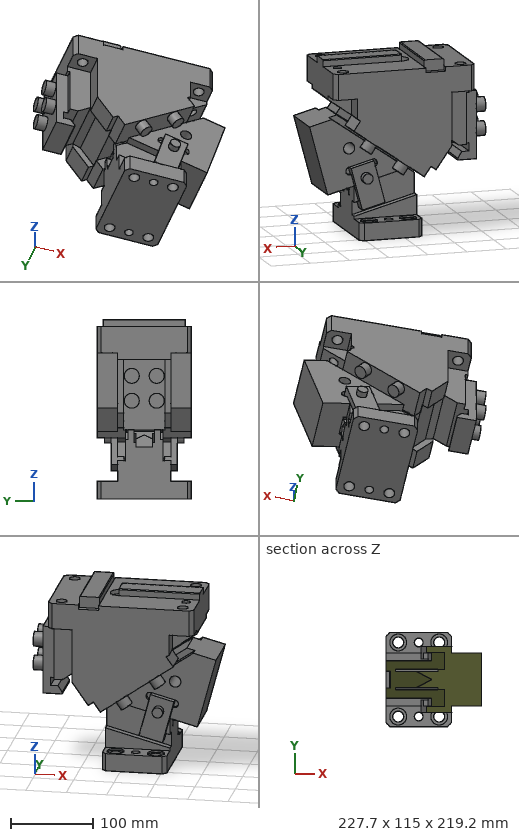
import cadquery as cq
import math


body_width = 115.0
column_width = 65.0
corner_chamfer = 5.0
bolt_hole_diameter = 13.0
dowel_diameter = 10.2
bolt_hole_y = 45.0
bolt_hole_inset = 15.0
far = 455.5

way_angle = 35.0
way_cos = math.cos(math.radians(way_angle))
way_sin = math.sin(math.radians(way_angle))
way_start = (65.1, 74.7)
way_length = 110.0
slide_rail_width = 43.0
rail_top = 5.0
shoulder_level = -2.7

parting_angle = 15.0
parting_cos = math.cos(math.radians(parting_angle))
parting_sin = math.sin(math.radians(parting_angle))
slide_right_x = 203.6
slide_height = 89.7
slide_corner_z = 54.5
slide_corner_x = slide_right_x - slide_height * parting_sin

holder_length = 180.0
holder_top = 210.5
plate_thickness = 32.3
plate_bottom = holder_top - plate_thickness
corner_pocket_length = 29.8
dowel_y = 22.5
dowel_depth = 54.7
seat_height = 15.0
tooth_length = 8.0
tooth_gap_step = 0.7
tooth_gap_height = 45.5
column_bottom = 105.2
column_bottom_length = 13.5
way_groove_width = 45.0

key_width = 25.0
key_rise = 8.7
key_seat_depth = 5.5
key_chamfer = 1.1
cross_key_x = 37.8
cross_key_length = 100.2
long_key_length = 100.0

hook_width = 50.0
hook_left = -11.8
hook_seat_x = 3.2
hook_bottom = 84.5
hook_top = 170.1
hook_web_x = -2.3
hook_lip_top = 95.0
hook_lip_corner_x = 6.8
hook_lip_end = (12.0, 87.0)
hook_bolt_diameter = 18.2
hook_bolt_tip = -24.1
hook_bolt_spacing = 30.3
hook_bolt_center_z = 135.0

way_bolt_diameter = 16.2
way_bolt_height = 12.0
way_bolt_positions = (30.5, 80.6)
way_bolt_y = 48.7

cross_hole_diameter = 14.1
cross_hole_along = 41.0
cross_hole_height = 47.5
clamp_along = 50.0
clamp_width = 30.0
clamp_thickness = 8.0
clamp_top = 24.8
clamp_bottom = -30.0
lip_inner_y = 24.8
slot_length = 41.0
slot_diameter = 10.0
slot_height = 19.8
slot_depth = 5.0
pin_diameter = 13.0
pin_height = 7.7
pin_length = 8.0
insert_start = 30.5
insert_end = 107.5
insert_flange_width = 24.5
insert_flange_thickness = 2.0
insert_width = 20.0
insert_depth = 9.0
vee_apex_depth = 4.0

base_left = 66.7
base_length = 80.0
base_right = base_left + base_length
base_plate_thickness = 22.0
base_rail_width = 46.0
base_crest_width = 40.0
flange_end = 59.2
flange_thickness = 20.0
shelf_depth = 36.7
slot_floor_depth = 20.5
wide_slot_depth = 15.3
counterbore_diameter = 20.5
counterbore_depth = 2.0


def way_point(along, above):
    """XZ point from its distance along the slide way and its height square to it."""
    x = way_start[0] + along * way_cos - above * way_sin
    z = way_start[1] + along * way_sin + above * way_cos
    return (x, z)


def parting_point(along, above):
    """XZ point from its distance up the parting plane and its height square to it."""
    x = slide_corner_x - along * parting_cos + above * parting_sin
    z = slide_corner_z + along * parting_sin + above * parting_cos
    return (x, z)


def prism(points, y_from, y_to):
    """XZ outline extruded along Y."""
    return cq.Workplane("XZ", origin=(0, y_from, 0)).polyline(points).close().extrude(y_from - y_to)


def centered_prism(points, width):
    return prism(points, -width / 2, width / 2)


def box(x_from, x_to, y_from, y_to, z_from, z_to):
    return cq.Workplane("XY").box(
        x_to - x_from, y_to - y_from, z_to - z_from, centered=False
    ).translate((x_from, y_from, z_from))


def rectangle(point, first, second, low, high):
    """Corners of a rectangle in the inclined axes of `point`."""
    return [point(first, low), point(second, low), point(second, high), point(first, high)]


def both_sides(shape):
    return shape.union(shape.mirror("XZ"))


def cylinder_along_y(center, diameter, y_from, y_to):
    return (
        cq.Workplane("XZ", origin=(0, y_from, 0))
        .center(*center).circle(diameter / 2).extrude(y_from - y_to)
    )


def above_way(level):
    """Cutting outline of everything above a plane parallel to the slide way."""
    return rectangle(way_point, -far, far, level, far)


def shoulder_cut(rail_width):
    """Material above the shoulders on both sides of a rail."""
    return both_sides(prism(above_way(shoulder_level), rail_width / 2, far))



def holder_body():
    seat_rise = way_sin / way_cos
    seat_end = way_point(way_length, seat_height)
    tooth_tip = way_point(-tooth_length, seat_height)
    pocket_x = corner_pocket_length
    slope_end_z = column_bottom + (pocket_x - column_bottom_length) * seat_rise
    tooth_wall_top = tooth_tip[1] + (tooth_tip[0] - pocket_x) / seat_rise
    outline = [
        (0, holder_top),
        (0, column_bottom),
        (column_bottom_length, column_bottom),
        (pocket_x, slope_end_z),
        (pocket_x, tooth_wall_top),
        tooth_tip,
        way_point(0, seat_height),
        way_start,
        way_point(way_length, 0),
        seat_end,
        (holder_length, seat_end[1] + (holder_length - seat_end[0]) * seat_rise),
        (holder_length, holder_top),
    ]
    body = centered_prism(outline, body_width).edges("|Z and (<X or >X)").chamfer(corner_chamfer)
    right_pocket_x = holder_length - corner_pocket_length
    for x_from, x_to, z_from in ((-far, pocket_x, 0), (right_pocket_x, far, seat_end[1])):
        body = body.cut(both_sides(box(x_from, x_to, column_width / 2, far, z_from, plate_bottom)))
    tooth_gap = [
        way_point(tooth_gap_step, seat_height),
        way_point(tooth_gap_step, tooth_gap_height),
        (pocket_x, slope_end_z),
        (pocket_x, 0),
        way_point(-seat_height, seat_height),
    ]
    body = body.cut(centered_prism(tooth_gap, column_width))
    body = body.cut(box(-far, hook_seat_x, -column_width / 2, column_width / 2, 0, hook_top))
    groove = rectangle(way_point, -far, far, -seat_height, seat_height)
    return body.cut(centered_prism(groove, way_groove_width))


def plate_holes():
    xs = (bolt_hole_inset, holder_length - bolt_hole_inset)
    bolts = [(x, y) for x in xs for y in (-bolt_hole_y, bolt_hole_y)]
    dowels = [(xs[1], y) for y in (-dowel_y, dowel_y)]
    plane = cq.Workplane("XY", origin=(0, 0, holder_top))
    bolt_cut = plane.pushPoints(bolts).circle(bolt_hole_diameter / 2).extrude(-plate_thickness)
    dowel_cut = plane.pushPoints(dowels).circle(dowel_diameter / 2).extrude(-dowel_depth)
    return bolt_cut.union(dowel_cut)


def key_seats():
    floor = holder_top - key_seat_depth
    cross = box(cross_key_x, cross_key_x + key_width, -far, far, floor, far)
    start = holder_length - long_key_length
    straight = box(start, far, -key_width / 2, key_width / 2, floor, far)
    round_end = cq.Workplane("XY", origin=(start, 0, floor)).circle(key_width / 2).extrude(key_seat_depth)
    return cross.union(straight).union(round_end)


def keys():
    floor = holder_top - key_seat_depth
    top = holder_top + key_rise
    cross = box(
        cross_key_x, cross_key_x + key_width, -cross_key_length / 2, cross_key_length / 2, floor, top
    ).edges(">Z and |Y").chamfer(key_chamfer)
    long = box(
        holder_length - long_key_length, holder_length, -key_width / 2, key_width / 2, floor, top
    ).edges(">Z and |X").chamfer(key_chamfer)
    return cross.union(long)


def hook_plate():
    outline = [
        (hook_left, hook_bottom),
        (hook_left, hook_top),
        (hook_seat_x, hook_top),
        (hook_seat_x, column_bottom),
        (hook_web_x, column_bottom),
        (hook_web_x, hook_lip_top),
        (hook_lip_corner_x, hook_lip_top),
        hook_lip_end,
        (hook_lip_end[0], hook_bottom),
    ]
    bolts = (
        cq.Workplane("YZ", origin=(hook_left, 0, hook_bolt_center_z))
        .rarray(hook_bolt_spacing, hook_bolt_spacing, 2, 2)
        .circle(hook_bolt_diameter / 2).extrude(hook_bolt_tip - hook_left)
    )
    return centered_prism(outline, hook_width).union(bolts)


def way_bolts():
    heads = cq.Workplane("XY")
    for from_end in way_bolt_positions:
        x, z = way_point(way_length - from_end, 0)
        for y in (-way_bolt_y, way_bolt_y):
            plane = cq.Plane(origin=(x, y, z), xDir=(way_cos, 0, way_sin), normal=(way_sin, 0, -way_cos))
            heads = heads.add(cq.Workplane(plane).circle(way_bolt_diameter / 2).extrude(way_bolt_height))
    return heads.combine()


def make_holder():
    body = holder_body().cut(plate_holes()).cut(key_seats())
    return body.union(keys()).union(hook_plate()).union(way_bolts())



def clamp():
    """Clamp on one side: outer plate, lip below the base flange, tongue in the slide slot and pin."""
    right = clamp_along - clamp_width / 2
    left = clamp_along + clamp_width / 2
    inner_y = column_width / 2
    outer_y = inner_y + clamp_thickness
    plate = prism(rectangle(parting_point, right, left, clamp_bottom, clamp_top), inner_y, outer_y)
    lip = prism(rectangle(parting_point, right, left, clamp_bottom, -flange_thickness), lip_inner_y, inner_y)
    tongue_bottom = slot_height - slot_diameter / 2
    tongue_top = slot_height + slot_diameter / 2
    tongue = prism(
        rectangle(parting_point, right, left, tongue_bottom, tongue_top), inner_y - slot_depth, inner_y
    )
    pin = cylinder_along_y(parting_point(clamp_along, pin_height), pin_diameter, outer_y, outer_y + pin_length)
    return plate.union(lip).union(tongue).union(pin)


def clamp_slot():
    """Round-ended slot in one side of the slide."""
    inner_y = column_width / 2
    reach = (slot_length - slot_diameter) / 2
    low, high = slot_height - slot_diameter / 2, slot_height + slot_diameter / 2
    slot = prism(
        rectangle(parting_point, clamp_along - reach, clamp_along + reach, low, high),
        inner_y - slot_depth, inner_y,
    )
    for along in (clamp_along - reach, clamp_along + reach):
        center = parting_point(along, slot_height)
        slot = slot.union(cylinder_along_y(center, slot_diameter, inner_y - slot_depth, inner_y))
    return slot


def vee_ridge(along_from, along_to):
    """Roof-topped guide standing on the floor of the base slot."""
    x, z = parting_point(along_from, 0)
    plane = cq.Plane(origin=(x, 0, z), xDir=(0, 1, 0), normal=(-parting_cos, 0, parting_sin))
    half = insert_width / 2
    outline = [
        (-half, slot_floor_depth),
        (half, slot_floor_depth),
        (half, insert_depth),
        (0, vee_apex_depth),
        (-half, insert_depth),
    ]
    return cq.Workplane(plane).polyline(outline).close().extrude(along_to - along_from)


def slide_insert():
    flange = centered_prism(
        rectangle(parting_point, insert_start, insert_end, -insert_flange_thickness, 0), insert_flange_width
    )
    guide = centered_prism(
        rectangle(parting_point, insert_start, insert_end, -insert_depth, 0), insert_width
    )
    return flange.union(guide).cut(vee_ridge(insert_start, insert_end))


def make_slide():
    block = centered_prism(rectangle(parting_point, 0, far, 0, slide_height), column_width)
    block = block.cut(shoulder_cut(slide_rail_width)).cut(centered_prism(above_way(rail_top), far))
    block = block.cut(both_sides(clamp_slot()))
    hole = cylinder_along_y(
        parting_point(cross_hole_along, cross_hole_height), cross_hole_diameter, -column_width, column_width
    )
    return block.cut(hole).union(both_sides(clamp())).union(slide_insert())



def base_foot():
    foot = box(base_left, base_right, -body_width / 2, body_width / 2, 0, base_plate_thickness)
    foot = foot.edges("|Z").chamfer(corner_chamfer)
    xs = (base_left + bolt_hole_inset, base_right - bolt_hole_inset)
    ys = (-bolt_hole_y, bolt_hole_y)
    bolts = [(x, y) for x in xs for y in ys]
    dowels = [((base_left + base_right) / 2, y) for y in ys]
    top = foot.faces(">Z").workplane(origin=(0, 0, 0))
    foot = top.pushPoints(bolts).cboreHole(bolt_hole_diameter, counterbore_diameter, counterbore_depth)
    return foot.faces(">Z").workplane(origin=(0, 0, 0)).pushPoints(dowels).hole(dowel_diameter)


def base_block(width, along_to, low, high):
    """Part of the base between two depths under the parting plane."""
    return centered_prism(rectangle(parting_point, -far, along_to, low, high), width)


def make_base():
    upper = base_block(column_width, far, -far, -shelf_depth)
    upper = upper.union(base_block(base_rail_width, far, -far, 0))
    upper = upper.union(base_block(column_width, flange_end, -flange_thickness, 0))
    upper = upper.cut(shoulder_cut(base_crest_width))
    upper = upper.cut(base_block(insert_flange_width, far, -wide_slot_depth, far))
    upper = upper.cut(base_block(insert_width, far, -slot_floor_depth, far))
    upper = upper.union(vee_ridge(0, insert_end))
    upper = upper.intersect(box(base_left, base_right, -far, far, 0, far))
    return base_foot().union(upper)


holder = make_holder()
slide = make_slide()
base = make_base()
result = cq.Compound.makeCompound([holder.val(), slide.val(), base.val()])